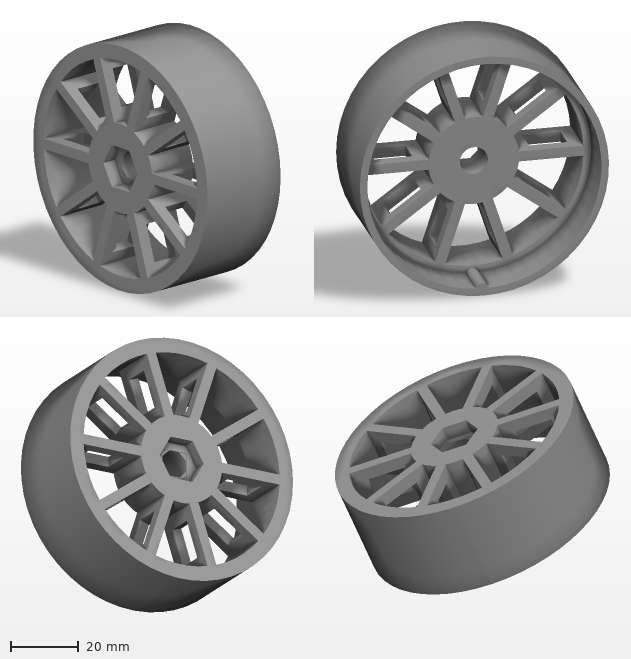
import cadquery as cq
RIM_RADIUS = 38.0
RIM_WIDTH = 29.5
RIM_INNER_RADIUS = 33.45
CAVITY_RADIUS = 35.7
SPOKE_DEPTH = 16.5
SPOKE_COUNT = 10
SPOKE_WIDTH = 3.2
FRAME_WIDTH = 3.95

KEY_RADIUS = 2.0
KEY_CENTRE_X = 0.6
KEY_CENTRE_Z = -36.0

HUB_RADIUS = 13.8
NUT_ACROSS_CORNERS = 15.0
NUT_POCKET_DEPTH = 4.5
BORE_RADIUS = 4.25

PLATE_SIDE = 12.0
PLATE_HOLE_SIDE = 8.1
PLATE_LAYER = 0.2
PLATE_FRONT = NUT_POCKET_DEPTH - PLATE_LAYER


def cylinder(radius, front, back):
    """Cylinder about the wheel axis between two Y positions."""
    return cq.Workplane("XZ", origin=(0, front, 0)).circle(radius).extrude(front - back)


def square_bar(side, front, back, turn=0):
    """Square bar along the wheel axis, turned about that axis by an angle in degrees."""
    bar = cq.Workplane("XZ", origin=(0, front, 0)).rect(side, side).extrude(front - back)
    return bar.rotate((0, 0, 0), (0, 1, 0), turn)


def make_rim():
    rim = cylinder(RIM_RADIUS, 0, RIM_WIDTH)
    rim = rim.cut(cylinder(RIM_INNER_RADIUS, 0, SPOKE_DEPTH))
    return rim.cut(cylinder(CAVITY_RADIUS, SPOKE_DEPTH, RIM_WIDTH))


def make_key():
    key = cylinder(KEY_RADIUS, SPOKE_DEPTH, RIM_WIDTH)
    return key.translate((KEY_CENTRE_X, 0, KEY_CENTRE_Z))


def make_spoke():
    """Radial plate along +X with a rectangular window through it."""
    rim_overlap = (RIM_RADIUS - RIM_INNER_RADIUS) / 2
    length = RIM_INNER_RADIUS + rim_overlap
    spoke = cq.Workplane("XY").box(length, SPOKE_DEPTH, SPOKE_WIDTH, centered=(False, False, True))
    window_length = RIM_INNER_RADIUS - HUB_RADIUS - 2 * FRAME_WIDTH
    window_depth = SPOKE_DEPTH - 2 * FRAME_WIDTH
    window = cq.Workplane("XY").box(window_length, window_depth, SPOKE_WIDTH, centered=(False, False, True))
    return spoke.cut(window.translate((HUB_RADIUS + FRAME_WIDTH, FRAME_WIDTH, 0)))


def make_wheel():
    wheel = make_rim().union(make_key())
    spoke = make_spoke()
    for index in range(SPOKE_COUNT):
        angle = index * 360 / SPOKE_COUNT
        wheel = wheel.union(spoke.rotate((0, 0, 0), (0, 1, 0), angle))
    return wheel.cut(cylinder(HUB_RADIUS, 0, SPOKE_DEPTH))


def make_plate_blank():
    return square_bar(PLATE_SIDE, PLATE_FRONT, PLATE_FRONT + 2 * PLATE_LAYER)


def make_hub():
    hub = cylinder(HUB_RADIUS, 0, SPOKE_DEPTH)
    hub = hub.cut(cq.Workplane("XZ").polygon(6, NUT_ACROSS_CORNERS).extrude(-NUT_POCKET_DEPTH))
    hub = hub.cut(cylinder(BORE_RADIUS, 0, SPOKE_DEPTH))
    return hub.cut(make_plate_blank())


def make_plate():
    """Plate with a square hole in its front layer and an octagonal one in its back layer."""
    middle = PLATE_FRONT + PLATE_LAYER
    back = middle + PLATE_LAYER
    square_hole = square_bar(PLATE_HOLE_SIDE, PLATE_FRONT, back)
    turned_hole = square_bar(PLATE_HOLE_SIDE, middle, back, turn=45)
    front_hole = square_bar(PLATE_HOLE_SIDE, PLATE_FRONT, middle)
    octagonal_hole = square_hole.intersect(turned_hole)
    return make_plate_blank().cut(front_hole).cut(octagonal_hole)


wheel = make_wheel()
hub = make_hub()
plate = make_plate()

result = cq.Compound.makeCompound([wheel.val(), hub.val(), plate.val()])